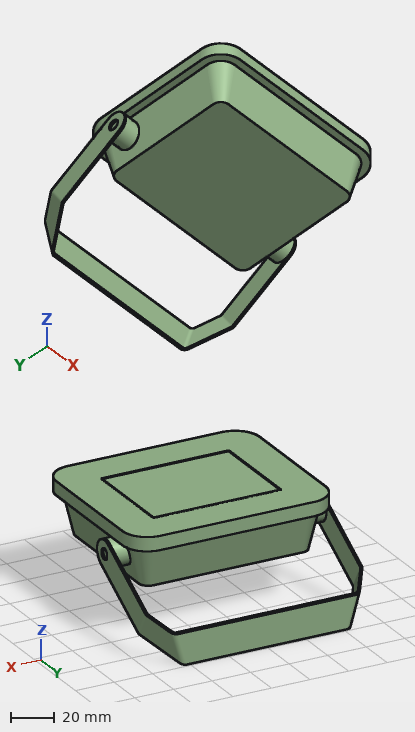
import cadquery as cq
import math

bezel_x = 105.4
bezel_y = 89.0
bezel_height = 7.1
bezel_radius = 12.8
body_top_x = 97.2
body_top_y = 80.8
body_top_radius = 9.0
body_height = 21.4
body_inset = 4.9
body_bottom_radius = 4.9
window_x = 66.1
window_y = 49.9
window_depth = 0.5

pivot_y = 20.7
pivot_z = -15.0
pivot_diameter = 14.0
screw_hole_diameter = 5.5

bracket_width = 112.5
bracket_thickness = 1.0
bracket_tilt = 30.0
bracket_back_y = 72.6
leg_length = 41.9
corner_angle = 30.0
bend_inner_radius = 2.0
bend_outer_radius = bend_inner_radius + bracket_thickness
envelope_half_height = 14.0
trim_size = 3 * bracket_width
strip_length = 93.7


def rounded_section(x_size, y_size, radius):
    return cq.Sketch().rect(x_size, y_size).vertices().fillet(radius)


def make_bezel():
    outline = rounded_section(bezel_x, bezel_y, bezel_radius)
    bezel = cq.Workplane("XY").placeSketch(outline).extrude(-bezel_height)
    window = cq.Workplane("XY").rect(window_x, window_y).extrude(-window_depth)
    return bezel.cut(window)


def make_body():
    """Tapered tub under the bezel."""
    top = rounded_section(body_top_x, body_top_y, body_top_radius)
    bottom = rounded_section(
        body_top_x - 2 * body_inset, body_top_y - 2 * body_inset, body_bottom_radius
    ).moved(cq.Location(cq.Vector(0, 0, -body_height)))
    return cq.Workplane("XY").workplane(offset=-bezel_height).placeSketch(top, bottom).loft()


def pivot_cylinder(diameter, length):
    """Cylinder along the pivot axis, centred on X = 0."""
    return (
        cq.Workplane("YZ")
        .center(pivot_y, pivot_z)
        .circle(diameter / 2)
        .extrude(length / 2, both=True)
    )


def make_housing():
    """Bezel and tub with a pivot boss on each side, up to the bracket legs."""
    bosses = pivot_cylinder(pivot_diameter, bracket_width - 2 * bracket_thickness)
    return make_body().union(bosses).union(make_bezel())


def place_on_pivot(shape):
    """Tilt a shape made along +Y about the X axis and move it to the pivot."""
    tilted = shape.rotate((0, 0, 0), (1, 0, 0), -bracket_tilt)
    return tilted.translate((0, pivot_y, pivot_z))


def height_above_strip(point):
    """Distance of a point above the tilted middle plane of the strip."""
    tilt = math.radians(bracket_tilt)
    return (point.y - pivot_y) * math.sin(tilt) + (point.z - pivot_z) * math.cos(tilt)


def is_bend(edge):
    """True for an edge that runs across the strip, ahead of the pivot."""
    start = edge.startPoint()
    end = edge.endPoint()
    heights = [height_above_strip(start), height_above_strip(end)]
    return min(heights) < 0 < max(heights) and edge.Center().y > pivot_y


def bracket_envelope(inset, bend_radius):
    """Solid filling the bracket, its leg, corner and back faces moved in by inset."""
    half_width = bracket_width / 2 - inset
    angle = math.radians(corner_angle)
    bend_y = leg_length - inset * math.tan(angle / 2)
    end_half_width = half_width - (strip_length - bend_y) * math.tan(angle)
    prism = (
        cq.Workplane("XY")
        .polyline(
            [
                (-half_width, -pivot_diameter),
                (half_width, -pivot_diameter),
                (half_width, bend_y),
                (end_half_width, strip_length),
                (-end_half_width, strip_length),
                (-half_width, bend_y),
            ]
        )
        .close()
        .extrude(envelope_half_height, both=True)
    )
    beyond_back = (
        cq.Workplane("XZ", origin=(0, bracket_back_y - inset, 0))
        .rect(trim_size, trim_size)
        .extrude(-bracket_width)
    )
    envelope = place_on_pivot(prism).cut(beyond_back)

    bends = [edge for edge in envelope.edges().vals() if is_bend(edge)]
    return envelope.newObject(bends).fillet(bend_radius)


def make_bracket():
    outer = bracket_envelope(0, bend_outer_radius)
    inner = bracket_envelope(bracket_thickness, bend_inner_radius)
    strip = (
        cq.Workplane("YZ")
        .moveTo(0, pivot_diameter / 2)
        .lineTo(strip_length, pivot_diameter / 2)
        .lineTo(strip_length, -pivot_diameter / 2)
        .lineTo(0, -pivot_diameter / 2)
        .threePointArc((-pivot_diameter / 2, 0), (0, pivot_diameter / 2))
        .close()
        .extrude(bracket_width / 2, both=True)
    )
    screw_holes = pivot_cylinder(screw_hole_diameter, bracket_width)
    return outer.cut(inner).intersect(place_on_pivot(strip)).cut(screw_holes)


housing = make_housing()
bracket = make_bracket()
result = cq.Compound.makeCompound([housing.val(), bracket.val()])